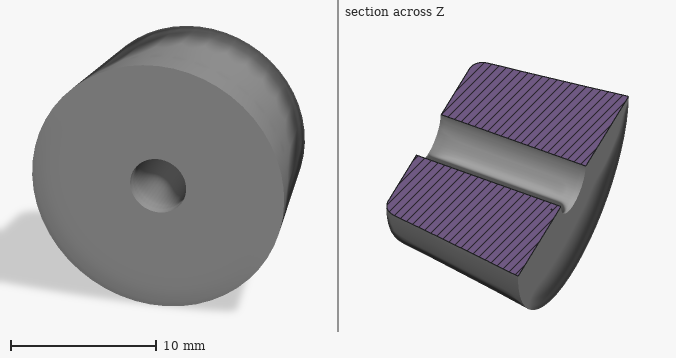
import cadquery as cq

base_diameter = 18.0
small_end_diameter = 15.0
height = 11.0
hole_diameter = 4.0
edge_radius = 1.0

base_y = -height / 2
small_end_y = height / 2


def tapered_body():
    """Truncated cone with a rounded rim at its narrow end."""
    half_section = (
        cq.Workplane("YZ")
        .moveTo(base_y, 0)
        .lineTo(base_y, base_diameter / 2)
        .lineTo(small_end_y, small_end_diameter / 2)
        .lineTo(small_end_y, 0)
        .close()
    )
    cone = half_section.revolve(360, (0, 0), (1, 0))
    return cone.faces(">Y").edges().fillet(edge_radius)


def through_hole():
    """Cylinder that removes the central hole along the full height."""
    return (
        cq.Workplane("XZ", origin=(0, small_end_y, 0))
        .circle(hole_diameter / 2)
        .extrude(height)
    )


result = tapered_body().cut(through_hole())